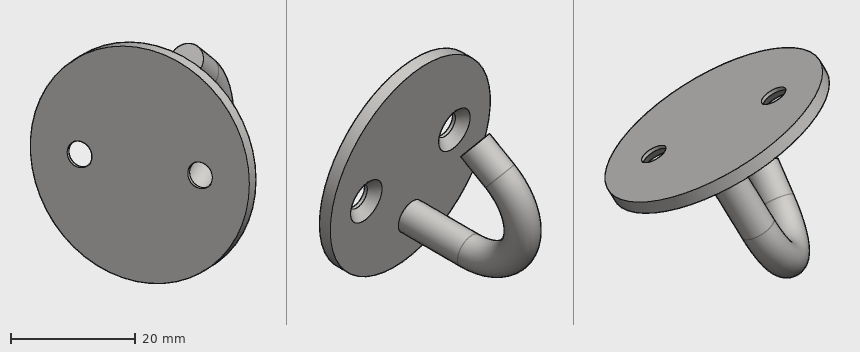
import cadquery as cq
import math

plate_diameter = 40.0
plate_thickness = 2.3

screw_hole_diameter = 4.5
screw_hole_spacing = 22.0
countersink_angle = 90.0
screw_hole_land = 0.65

bar_diameter = 6.0
hook_reach = 29.0
bend_radius = 11.2
bend_angle = 145.0
tip_length = 6.4

bend_centre_y = hook_reach - bend_radius - bar_diameter / 2
shank_z = -bend_radius


def bend_point(angle):
    """Centreline point (Y, Z) after turning by the given angle around the bend."""
    turn = math.radians(angle)
    y = bend_centre_y + bend_radius * math.sin(turn)
    z = -bend_radius * math.cos(turn)
    return y, z


def make_screw_hole(x):
    """Cutter for one countersunk hole, revolved about its axis along Y."""
    hole_radius = screw_hole_diameter / 2
    countersink_depth = plate_thickness - screw_hole_land
    countersink_radius = hole_radius + countersink_depth * math.tan(math.radians(countersink_angle / 2))
    half_profile = [
        (0, 0),
        (hole_radius, 0),
        (hole_radius, screw_hole_land),
        (countersink_radius, plate_thickness),
        (0, plate_thickness),
    ]
    cutter = cq.Workplane("XY").polyline(half_profile).close().revolve(360, (0, 0, 0), (0, 1, 0))
    return cutter.translate((x, 0, 0))


def make_plate():
    plate = cq.Workplane("XZ").circle(plate_diameter / 2).extrude(-plate_thickness)
    for side in (-1, 1):
        plate = plate.cut(make_screw_hole(side * screw_hole_spacing / 2))
    return plate


def make_hook():
    bend_end_y, bend_end_z = bend_point(bend_angle)
    tip_direction = math.radians(bend_angle)
    tip_y = bend_end_y + tip_length * math.cos(tip_direction)
    tip_z = bend_end_z + tip_length * math.sin(tip_direction)
    centreline = (
        cq.Workplane("YZ")
        .moveTo(plate_thickness, shank_z)
        .lineTo(bend_centre_y, shank_z)
        .threePointArc(bend_point(bend_angle / 2), (bend_end_y, bend_end_z))
        .lineTo(tip_y, tip_z)
    )
    bar_section = cq.Workplane("XZ", origin=(0, plate_thickness, shank_z)).circle(bar_diameter / 2)
    return bar_section.sweep(centreline)


result = make_plate().union(make_hook())